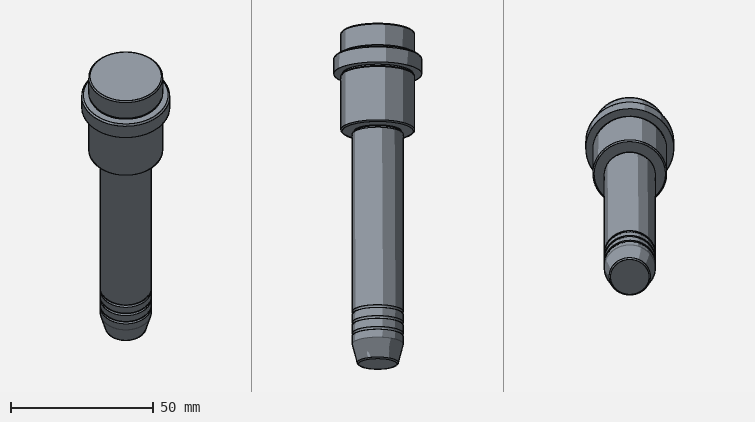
import cadquery as cq

length = 121.0

body_diameter = 26.0
body_radius = body_diameter / 2
collar_radius = 15.5
collar_top = 112.0
collar_bottom = 106.0
body_bottom = 85.1
edge_chamfer = 0.5
collar_chamfer = 0.6

undercut_width = 0.5
undercut_depth = 0.5

shaft_diameter = 18.0
shaft_radius = shaft_diameter / 2
neck_depth = 0.7
neck_length = 0.4

taper_height = 7.3
tip_radius = 7.3
tip_chamfer = 0.5

groove_count = 3
groove_pitch = 4.0
first_groove_height = 10.6
groove_radius = 0.5


def cylinder(radius, bottom, top):
    return cq.Workplane("XY").workplane(offset=bottom).circle(radius).extrude(top - bottom)


def chamfered_cylinder(radius, bottom, top):
    return cylinder(radius, bottom, top).faces("<Z or >Z").chamfer(edge_chamfer)


def make_body():
    head = chamfered_cylinder(body_radius, collar_top + undercut_width, length)
    collar = cylinder(collar_radius, collar_bottom, collar_top).faces(">Z").chamfer(collar_chamfer)
    sleeve = chamfered_cylinder(body_radius, body_bottom, collar_bottom - undercut_width)
    core = cylinder(body_radius - undercut_depth, body_bottom + edge_chamfer, length - edge_chamfer)
    return core.union(head).union(collar).union(sleeve)


def make_shaft():
    """Revolve the neck, shaft and tapered tip as one profile of (radius, height)."""
    neck_radius = shaft_radius - neck_depth
    neck_bottom = body_bottom - neck_length
    profile = [
        (0, 0),
        (tip_radius - tip_chamfer, 0),
        (tip_radius, tip_chamfer),
        (shaft_radius, taper_height),
        (shaft_radius, neck_bottom - neck_depth),
        (neck_radius, neck_bottom),
        (neck_radius, body_bottom + edge_chamfer),
        (0, body_bottom + edge_chamfer),
    ]
    return cq.Workplane("XZ").polyline(profile).close().revolve(360, (0, 0), (0, 1))


def groove_ring(height):
    """Return the round-section ring, centred on the shaft surface, removed by one groove."""
    return cq.Workplane("XY").add(cq.Solid.makeTorus(shaft_radius, groove_radius, cq.Vector(0, 0, height)))


shaft = make_shaft()
for index in range(groove_count):
    shaft = shaft.cut(groove_ring(first_groove_height + index * groove_pitch))

result = make_body().union(shaft)